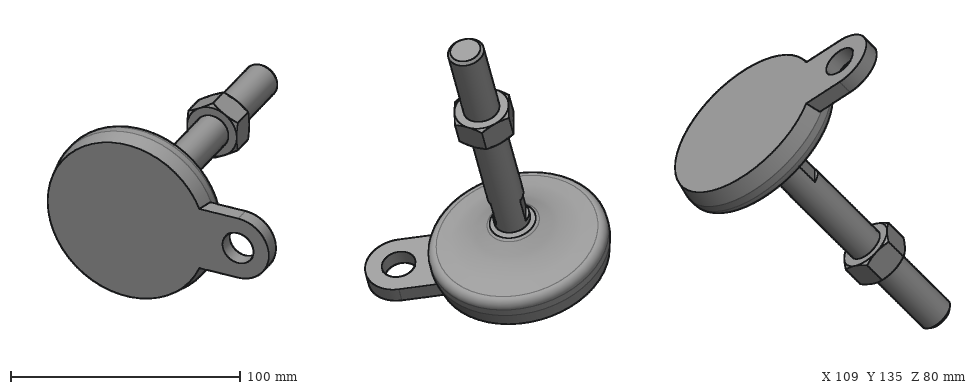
import cadquery as cq
import math

rim_radius = 80.0 / 2
sole_radius = 38.3
taper_height = 7.7
rim_height = 11.2
shoulder_radius = 35.9
shoulder_height = 15.4
rim_rounding = 4.2
flank_mid_radius = 22.7
flank_mid_height = 18.6
crown_radius = 11.6
crown_edge_height = 24.3
foot_height = 25.0
crown_top_radius = 10.3

lug_width = 30.0
lug_thickness = 7.3
lug_reach = 54.0
lug_hole_diameter = 15.0

overall_length = 135.0
neck_diameter = 10.0
spindle_start = 26.0
spindle_diameter = 16.0
tip_chamfer = 1.4
flats_start = 28.8
flats_length = 13.0
flats_width = 13.0

nut_start = 84.9
nut_thickness = 12.5
nut_across_flats = 24.0
nut_chamfer_angle = 30.0


def cylinder(diameter, start, end):
    """Cylinder on the Y axis between two heights."""
    return (
        cq.Workplane("XZ", origin=(0, start, 0))
        .circle(diameter / 2)
        .extrude(start - end)
    )


def make_foot():
    return (
        cq.Workplane("XY")
        .lineTo(sole_radius, 0)
        .lineTo(rim_radius, taper_height)
        .lineTo(rim_radius, rim_height)
        .radiusArc((shoulder_radius, shoulder_height), -rim_rounding)
        .threePointArc((flank_mid_radius, flank_mid_height), (crown_radius, crown_edge_height))
        .lineTo(crown_top_radius, foot_height)
        .lineTo(0, foot_height)
        .close()
        .revolve(360, (0, 0, 0), (0, 1, 0))
    )


def make_lug():
    bar = (
        cq.Workplane("XY")
        .box(lug_reach, lug_thickness, lug_width, centered=(False, False, True))
    )
    round_end = cylinder(lug_width, 0, lug_thickness).translate((lug_reach, 0, 0))
    hole = cylinder(lug_hole_diameter, 0, lug_thickness).translate((lug_reach, 0, 0))
    return bar.union(round_end).cut(hole)


def make_spindle():
    rod = cylinder(spindle_diameter, spindle_start, overall_length)
    rod = rod.faces(">Y").chamfer(tip_chamfer)
    for side in (-1, 1):
        flat_cut = (
            cq.Workplane("XY")
            .box(spindle_diameter, flats_length, spindle_diameter, centered=(True, False, True))
            .translate((side * (flats_width + spindle_diameter) / 2, flats_start, 0))
        )
        rod = rod.cut(flat_cut)
    neck = cylinder(neck_diameter, foot_height, spindle_start)
    return rod.union(neck)


def make_nut():
    flat_radius = nut_across_flats / 2
    corner_radius = flat_radius / math.cos(math.pi / 6)
    chamfer_height = (corner_radius - flat_radius) * math.tan(math.radians(nut_chamfer_angle))
    nut_end = nut_start + nut_thickness
    hexagon = (
        cq.Workplane("XZ", origin=(0, nut_start, 0))
        .transformed(rotate=(0, 0, 90))
        .polygon(6, 2 * corner_radius)
        .extrude(-nut_thickness)
    )
    blank = (
        cq.Workplane("XY")
        .moveTo(0, nut_start)
        .lineTo(flat_radius, nut_start)
        .lineTo(corner_radius, nut_start + chamfer_height)
        .lineTo(corner_radius, nut_end - chamfer_height)
        .lineTo(flat_radius, nut_end)
        .lineTo(0, nut_end)
        .close()
        .revolve(360, (0, 0, 0), (0, 1, 0))
    )
    return hexagon.intersect(blank)


result = make_foot().union(make_lug()).union(make_spindle()).union(make_nut())